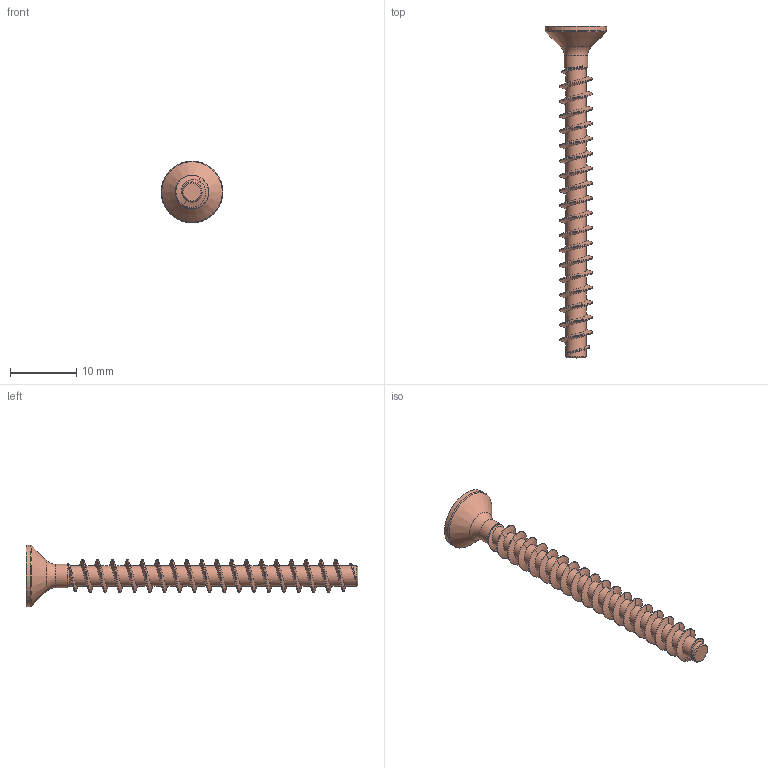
import cadquery as cq
import math

length = 50.0

head_radius = 9.3 / 2
rim_thickness = 0.78
cone_angle = math.radians(45)
rim_fillet = 0.3
neck_fillet = 2.0

shank_radius = 1.77
shank_end = 6.25
core_radius = 1.51
shoulder_length = 0.25
tip_chamfer = 0.15

pitch = 2.245
thread_radius = 2.5
crest_half_width = 0.06
flank_angle = math.radians(16)
root_radius = 1.2
runout_radius = root_radius + 0.2
first_crest_depth = 5.72
start_turn = -0.15
end_turn = 19.65
start_runout_turns = 1.4
end_runout_turns = 1.5
sections_per_turn = 2
points_per_section = 9


def make_body():
    """Head, neck, shank and core as one turned solid."""
    cone_end = rim_thickness + (head_radius - shank_radius) / math.tan(cone_angle)
    cone_slope_in = math.sin(cone_angle)
    cone_slope_down = math.cos(cone_angle)

    rim_tangent = rim_fillet * math.tan(cone_angle / 2)
    rim_arc_start = (head_radius, -(rim_thickness - rim_tangent))
    rim_arc_middle = (
        head_radius - rim_fillet * (1 - math.cos(cone_angle / 2)),
        rim_arc_start[1] - rim_fillet * math.sin(cone_angle / 2),
    )
    rim_arc_end = (
        head_radius - rim_tangent * cone_slope_in,
        -(rim_thickness + rim_tangent * cone_slope_down),
    )

    neck_tangent = neck_fillet * math.tan(cone_angle / 2)
    neck_arc_start = (
        shank_radius + neck_tangent * cone_slope_in,
        -(cone_end - neck_tangent * cone_slope_down),
    )
    neck_arc_end = (shank_radius, -(cone_end + neck_tangent))
    neck_arc_middle = (
        shank_radius + neck_fillet * (1 - math.cos(cone_angle / 2)),
        neck_arc_end[1] + neck_fillet * math.sin(cone_angle / 2),
    )

    return (
        cq.Workplane("XY")
        .lineTo(head_radius, 0)
        .lineTo(*rim_arc_start)
        .threePointArc(rim_arc_middle, rim_arc_end)
        .lineTo(*neck_arc_start)
        .threePointArc(neck_arc_middle, neck_arc_end)
        .lineTo(shank_radius, -shank_end)
        .lineTo(core_radius, -(shank_end + shoulder_length))
        .lineTo(core_radius, -(length - tip_chamfer))
        .lineTo(core_radius - tip_chamfer, -length)
        .lineTo(0, -length)
        .close()
        .revolve(360, (0, 0, 0), (0, 1, 0))
    )


def crest_radius(turn):
    """Crest radius after a number of turns, fading into the core at both ends."""
    from_start = min((turn - start_turn) / start_runout_turns, 1)
    from_end = min((end_turn - turn) / end_runout_turns, 1)
    rise = math.sin(math.pi / 2 * min(from_start, from_end))
    return runout_radius + (thread_radius - runout_radius) * rise


def thread_edge(on_crest, side, first_turn, last_turn):
    """Helical edge of a stretch of ridge; side is +1 towards the head, -1 towards the tip."""
    points = []
    for i in range(points_per_section):
        turn = first_turn + (last_turn - first_turn) * i / (points_per_section - 1)
        crest = crest_radius(turn)
        radius = crest if on_crest else root_radius
        half_width = crest_half_width + (crest - radius) * math.tan(flank_angle)
        angle = 2 * math.pi * turn
        depth = first_crest_depth + pitch * turn - side * half_width
        points.append(cq.Vector(radius * math.cos(angle), -depth, radius * math.sin(angle)))
    return cq.Edge.makeSpline(points)


def thread_section(first_turn, last_turn):
    """The four edges of a stretch of ridge, in order around its trapezoidal cross-section."""
    corners = [(False, 1), (True, 1), (True, -1), (False, -1)]
    return [thread_edge(on_crest, side, first_turn, last_turn) for on_crest, side in corners]


def end_cap(edges, position):
    """Flat trapezoid across the ridge, at the start (0) or end (1) of its edges."""
    corners = [edge.positionAt(position) for edge in edges]
    return cq.Face.makeFromWires(cq.Wire.makePolygon(corners, close=True))


def make_thread():
    """Right-handed trapezoidal ridge made of ruled helical faces and two end caps."""
    section_count = math.ceil((end_turn - start_turn) * sections_per_turn)
    section_turns = (end_turn - start_turn) / section_count
    sections = []
    for i in range(section_count):
        first_turn = start_turn + i * section_turns
        sections.append(thread_section(first_turn, first_turn + section_turns))

    faces = [end_cap(sections[0], 0), end_cap(sections[-1], 1)]
    for edges in sections:
        for i, edge in enumerate(edges):
            next_edge = edges[(i + 1) % len(edges)]
            faces.append(cq.Face.makeRuledSurface(edge, next_edge))
    return cq.Solid.makeSolid(cq.Shell.makeShell(faces))


result = make_body().union(cq.Workplane(make_thread()))